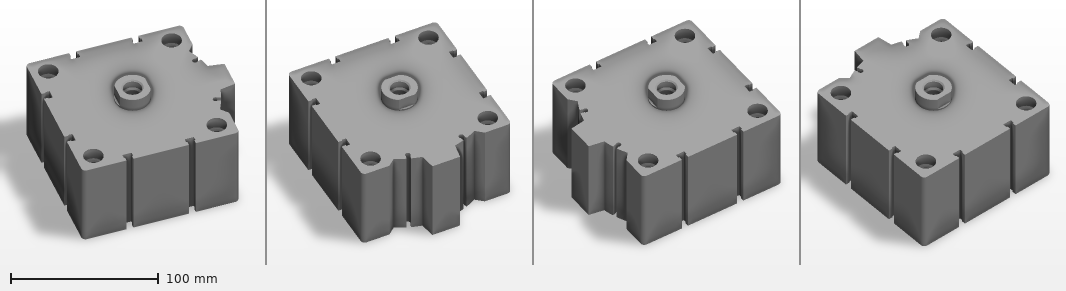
import cadquery as cq
import math

side = 113.0
half_side = side / 2
housing_height = 63.9
corner_radius = 3.0

overall_length = 126.7
tongue_y = overall_length - half_side
tongue_tip_half_width = 10.5
tongue_root_half_width = 12.4
arch_radius = 60.0
arch_end_x = 30.5
recess_mouth_x = 36.1

slot_spacing = 45.0
slot_neck_width = 5.0
slot_neck_depth = 3.0
slot_width = 6.6
slot_depth = 6.1
slot_edge_radius = 0.3

groove_x = 20.3
groove_y = 52.5
groove_tilt = 16.0
groove_diameter = 3.8
groove_neck_width = 3.0

hole_spacing = 89.0
hole_diameter = 8.5
countersink_diameter = 10.1
counterbore_diameter = 14.0
counterbore_depth = 8.7

rod_diameter = 25.0
rod_projection = 10.1
rod_insertion = 25.3
rod_chamfer = 0.2
flat_width = 22.0
flat_base = 1.3

mouth_diameter = 15.0
bore_diameter = 13.0
bore_depth = 6.2
seat_diameter = 12.0
drill_diameter = 10.1
drill_depth = 19.0
drill_point_angle = 118.0


def arch_height(x):
    """Y of the arch at a given X."""
    return math.sqrt(arch_radius**2 - x**2)


def arch_midpoint(x_start, x_end):
    x = (x_start + x_end) / 2
    return (x, arch_height(x))


def make_block():
    """Extruded outline with the tongue between two arched recesses."""
    root_x = tongue_root_half_width
    root_y = arch_height(root_x)
    end_y = arch_height(arch_end_x)
    outline = (
        cq.Workplane("XY")
        .moveTo(-half_side, -half_side)
        .lineTo(half_side, -half_side)
        .lineTo(half_side, half_side)
        .lineTo(recess_mouth_x, half_side)
        .lineTo(arch_end_x, end_y)
        .threePointArc(arch_midpoint(arch_end_x, root_x), (root_x, root_y))
        .lineTo(tongue_tip_half_width, tongue_y)
        .lineTo(-tongue_tip_half_width, tongue_y)
        .lineTo(-root_x, root_y)
        .threePointArc(arch_midpoint(-root_x, -arch_end_x), (-arch_end_x, end_y))
        .lineTo(-recess_mouth_x, half_side)
        .lineTo(-half_side, half_side)
        .close()
    )
    block = outline.extrude(housing_height)
    for x in (-half_side, half_side):
        for y in (-half_side, half_side):
            corner = cq.selectors.NearestToPointSelector((x, y, housing_height / 2))
            block = block.edges("|Z").edges(corner).fillet(corner_radius)
    return block


def make_t_slot(offset, face_angle):
    """T-slot cutter for the -Y face, turned about Z onto another face."""
    neck_half = slot_neck_width / 2
    radius = slot_edge_radius
    arc_inset = radius * (1 - math.sqrt(0.5))
    head = (
        cq.Workplane("XY")
        .center(0, (slot_neck_depth + slot_depth) / 2)
        .rect(slot_width, slot_depth - slot_neck_depth)
        .extrude(housing_height)
        .edges("|Z and >Y")
        .fillet(radius)
    )
    neck = (
        cq.Workplane("XY")
        .moveTo(-neck_half - radius, 0)
        .threePointArc((-neck_half - arc_inset, arc_inset), (-neck_half, radius))
        .lineTo(-neck_half, slot_neck_depth)
        .lineTo(neck_half, slot_neck_depth)
        .lineTo(neck_half, radius)
        .threePointArc((neck_half + arc_inset, arc_inset), (neck_half + radius, 0))
        .close()
        .extrude(housing_height)
    )
    slot = neck.union(head).translate((offset, -half_side, 0))
    return slot.rotate((0, 0, 0), (0, 0, 1), face_angle)


def make_sensor_groove(side_sign):
    """Round groove with a narrower neck that leans outward towards the given X side."""
    neck_length = arch_radius - groove_y
    bulb = cq.Workplane("XY").circle(groove_diameter / 2).extrude(housing_height)
    neck = (
        cq.Workplane("XY")
        .center(0, neck_length / 2)
        .rect(groove_neck_width, neck_length)
        .extrude(housing_height)
    )
    groove = bulb.union(neck).rotate((0, 0, 0), (0, 0, 1), -side_sign * groove_tilt)
    return groove.translate((side_sign * groove_x, groove_y, 0))


def make_mounting_hole():
    """Revolved cutter: counterbore, countersunk shoulder and through hole."""
    counterbore_z = housing_height - counterbore_depth
    countersink_z = counterbore_z - (countersink_diameter - hole_diameter) / 2
    return (
        cq.Workplane("XZ")
        .lineTo(hole_diameter / 2, 0)
        .lineTo(hole_diameter / 2, countersink_z)
        .lineTo(countersink_diameter / 2, counterbore_z)
        .lineTo(counterbore_diameter / 2, counterbore_z)
        .lineTo(counterbore_diameter / 2, housing_height)
        .lineTo(0, housing_height)
        .close()
        .revolve(360, (0, 0, 0), (0, 1, 0))
    )


def make_housing():
    housing = make_block()
    for face_angle in (-90, 0, 90):
        for offset in (-slot_spacing / 2, slot_spacing / 2):
            housing = housing.cut(make_t_slot(offset, face_angle))
    for side_sign in (-1, 1):
        housing = housing.cut(make_sensor_groove(side_sign))
    for x in (-hole_spacing / 2, hole_spacing / 2):
        for y in (-hole_spacing / 2, hole_spacing / 2):
            housing = housing.cut(make_mounting_hole().translate((x, y, 0)))
    rod_seat = (
        cq.Workplane("XY")
        .workplane(offset=housing_height - rod_insertion)
        .circle(rod_diameter / 2)
        .extrude(rod_insertion)
    )
    return housing.cut(rod_seat)


def make_rod_hole(top_z):
    """Revolved cutter: 45 degree mouth, bore, 45 degree seat, core and drill point."""
    mouth_radius = mouth_diameter / 2
    bore_radius = bore_diameter / 2
    drill_radius = drill_diameter / 2
    mouth_depth = mouth_radius - bore_radius
    seat_radius = seat_diameter / 2
    seat_depth = seat_radius - drill_radius
    point_length = drill_radius / math.tan(math.radians(drill_point_angle / 2))
    return (
        cq.Workplane("XZ")
        .moveTo(0, top_z)
        .lineTo(mouth_radius, top_z)
        .lineTo(bore_radius, top_z - mouth_depth)
        .lineTo(bore_radius, top_z - bore_depth)
        .lineTo(seat_radius, top_z - bore_depth)
        .lineTo(drill_radius, top_z - bore_depth - seat_depth)
        .lineTo(drill_radius, top_z - drill_depth)
        .lineTo(0, top_z - drill_depth - point_length)
        .close()
        .revolve(360, (0, 0, 0), (0, 1, 0))
    )


def make_rod():
    top_z = housing_height + rod_projection
    rod = (
        cq.Workplane("XY")
        .workplane(offset=housing_height - rod_insertion)
        .circle(rod_diameter / 2)
        .extrude(rod_insertion + rod_projection)
        .faces(">Z")
        .chamfer(rod_chamfer)
    )
    flat_zone = (
        cq.Workplane("XY")
        .workplane(offset=housing_height + flat_base)
        .rect(rod_diameter, rod_diameter)
        .rect(rod_diameter, flat_width)
        .extrude(rod_projection - flat_base)
    )
    return rod.cut(flat_zone).cut(make_rod_hole(top_z))


housing = make_housing()
rod = make_rod()

result = cq.Compound.makeCompound([housing.val(), rod.val()])